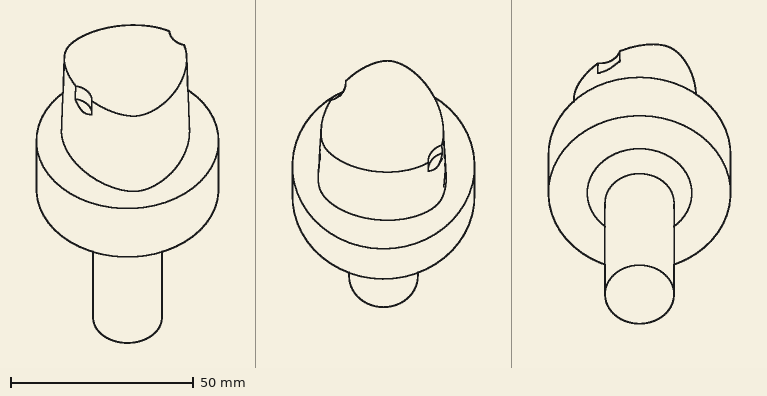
import cadquery as cq
import math

total_height = 102.5
taper_height = 30.0
flange_height = 19.9
cone_height = 5.1
flange_top = total_height - taper_height
flange_bottom = flange_top - flange_height
shank_height = flange_bottom - cone_height

shank_diameter = 19.0
cone_top_diameter = 28.7
flange_diameter = 50.0

taper_base_width = 35.2
taper_top_width = 33.6
lobe_height = 1.2

keyway_diameter = 11.0
keyway_radius = keyway_diameter / 2
keyway_wall_depth = 5.3
front_keyway_wall = -14.0
back_keyway_wall = 16.3


def make_round_body():
    """Shank, conical shoulder and flange turned about Z."""
    profile = [
        (0, 0),
        (shank_diameter / 2, 0),
        (shank_diameter / 2, shank_height),
        (cone_top_diameter / 2, flange_bottom),
        (flange_diameter / 2, flange_bottom),
        (flange_diameter / 2, flange_top),
        (0, flange_top),
    ]
    half_section = cq.Workplane("XZ").polyline(profile).close()
    return half_section.revolve(360, (0, 0, 0), (0, 1, 0))


def lobed_wire(width, z):
    """Three-lobed constant-width curve with one lobe pointing along +Y."""
    points_on_curve = 36
    points = []
    for i in range(points_on_curve):
        angle = 2 * math.pi * i / points_on_curve
        along = (
            width / 2 * math.cos(angle)
            + 2 * lobe_height * math.cos(2 * angle)
            - lobe_height * math.cos(4 * angle)
        )
        across = (
            width / 2 * math.sin(angle)
            - 2 * lobe_height * math.sin(2 * angle)
            - lobe_height * math.sin(4 * angle)
        )
        points.append(cq.Vector(-across, along, z))
    return cq.Wire.assembleEdges([cq.Edge.makeSpline(points, periodic=True)])


def make_taper():
    """Lobed taper standing on the flange."""
    base = lobed_wire(taper_base_width, flange_top)
    top = lobed_wire(taper_top_width, total_height)
    return cq.Workplane(cq.Solid.makeLoft([base, top], True))


def make_keyway_cutter(center_y):
    """Vertical cylinder ending in a 45 degree conical point."""
    wall_bottom = total_height - keyway_wall_depth
    profile = [
        (0, wall_bottom - keyway_radius),
        (keyway_radius, wall_bottom),
        (keyway_radius, total_height),
        (0, total_height),
    ]
    half_section = cq.Workplane("XZ").polyline(profile).close()
    cutter = half_section.revolve(360, (0, 0, 0), (0, 1, 0))
    return cutter.translate((0, center_y, 0))


result = make_round_body().union(make_taper())
for keyway_center_y in (front_keyway_wall - keyway_radius, back_keyway_wall + keyway_radius):
    result = result.cut(make_keyway_cutter(keyway_center_y))